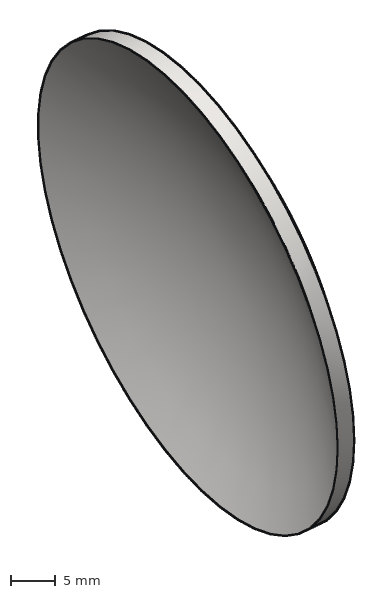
import cadquery as cq

diameter = 60.3
overall_depth = 9.15
rim_width = 2.25
hollow_depth = 6.95

radius = diameter / 2
dome_height = overall_depth - rim_width


def sphere_radius(sag):
    """Radius of the sphere whose cap spans the lens diameter with the given height."""
    return (radius**2 + sag**2) / (2 * sag)


def point_on_cap(sag, base_y):
    """Point halfway out from the axis, on a cap rising in +Y from a rim at base_y."""
    x = radius / 2
    cap_radius = sphere_radius(sag)
    return x, base_y + sag - cap_radius + (cap_radius**2 - x**2) ** 0.5


half_section = (
    cq.Workplane("XY")
    .moveTo(0, hollow_depth)
    .threePointArc(point_on_cap(hollow_depth, 0), (radius, 0))
    .lineTo(radius, rim_width)
    .threePointArc(point_on_cap(dome_height, rim_width), (0, overall_depth))
    .close()
)
result = half_section.revolve(360, (0, 0, 0), (0, 1, 0))